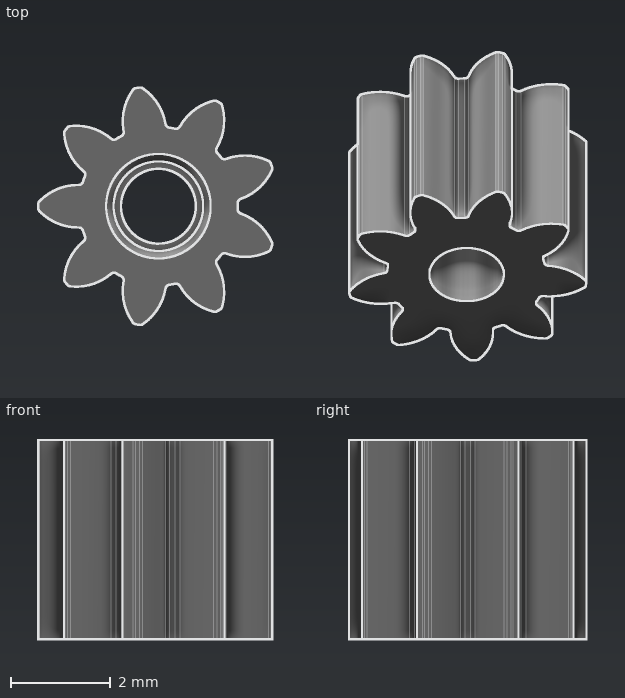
import cadquery as cq
import math

tooth_count = 9
height = 4.0
tip_radius = 2.415
root_radius = 1.595
tip_rounding = 0.085
root_fillet = 0.085

flank_radius = 1.08
flank_centre_x = 1.61
flank_centre_y = -0.65

bore_diameter = 1.5
countersink_diameter = 2.1
countersink_floor_diameter = 1.8
countersink_depth = (countersink_diameter - countersink_floor_diameter) / 2

tooth_pitch = 2 * math.pi / tooth_count
first_tooth_angle = math.pi


def polar(radius, angle):
    return (radius * math.cos(angle), radius * math.sin(angle))


def flank_half_angle(radius):
    """Angle from the tooth's centre line to its flank at a given distance from the gear axis."""
    centre_distance = math.hypot(flank_centre_x, flank_centre_y)
    centre_angle = math.atan2(flank_centre_y, flank_centre_x)
    cosine = (radius**2 + centre_distance**2 - flank_radius**2) / (2 * radius * centre_distance)
    return centre_angle + math.acos(cosine)


def gear_outline():
    """Closed outline: for each tooth a flank, the tip, the other flank and the gap to the next tooth."""
    middle_radius = (tip_radius + root_radius) / 2
    root_half = flank_half_angle(root_radius)
    middle_half = flank_half_angle(middle_radius)
    tip_half = flank_half_angle(tip_radius)

    outline = cq.Workplane("XY").moveTo(*polar(root_radius, first_tooth_angle - root_half))
    for index in range(tooth_count):
        angle = first_tooth_angle + index * tooth_pitch
        gap_angle = angle + tooth_pitch / 2
        next_root = angle + tooth_pitch - root_half
        outline = (
            outline
            .threePointArc(polar(middle_radius, angle - middle_half), polar(tip_radius, angle - tip_half))
            .threePointArc(polar(tip_radius, angle), polar(tip_radius, angle + tip_half))
            .threePointArc(polar(middle_radius, angle + middle_half), polar(root_radius, angle + root_half))
            .threePointArc(polar(root_radius, gap_angle), polar(root_radius, next_root))
        )
    return outline.close()


def is_tip_edge(edge):
    centre = edge.Center()
    return math.hypot(centre.x, centre.y) > (tip_radius + root_radius) / 2


def is_root_edge(edge):
    return not is_tip_edge(edge)


def toothed_body():
    body = gear_outline().extrude(height)
    body = body.edges("|Z").filter(is_tip_edge).fillet(tip_rounding)
    return body.edges("|Z").filter(is_root_edge).fillet(root_fillet)


def bore():
    return cq.Workplane("XY").circle(bore_diameter / 2).extrude(height)


def countersink():
    """Cone frustum whose flat floor leaves a narrow ledge around the bore."""
    floor_z = height - countersink_depth
    floor_radius = countersink_floor_diameter / 2
    top_radius = countersink_diameter / 2
    return (
        cq.Workplane("XZ")
        .moveTo(0, floor_z)
        .lineTo(floor_radius, floor_z)
        .lineTo(top_radius, height)
        .lineTo(0, height)
        .close()
        .revolve(360, (0, 0, 0), (0, 1, 0))
    )


result = toothed_body().cut(bore()).cut(countersink())